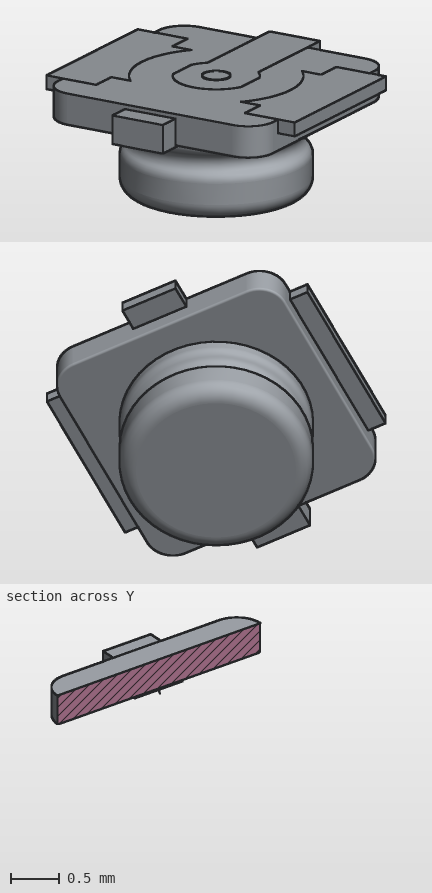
import cadquery as cq
import math

plate_size = 2.6
plate_thickness = 0.347
plate_corner_radius = 0.3
plate_edge_radius = 0.025

overall_length = 3.1
strip_width = 0.61
contact_thickness = 0.15
contact_relief = 0.0015

wing_span = 3.0
wing_length = 1.8
wing_tooth_length = 1.2
wing_bore_radius = 0.9

contact_disc_radius = 0.45
contact_disc_width = 0.82
pin_radius = 0.15
pin_height = 0.01

tab_top = -0.05
tab_height = 0.31

shell_radius = 0.998
shell_bottom = -1.25
shell_bottom_radius = 0.175
neck_radius = 0.895
groove_top = -0.46
groove_bottom = -0.845
groove_center = (groove_top + groove_bottom) / 2
groove_half_height = groove_center - groove_bottom
groove_depth = shell_radius - neck_radius
groove_arc_radius = (groove_half_height**2 + groove_depth**2) / (4 * groove_depth)


def box(x_size, y_size, y_center, z_bottom, z_top):
    """Box centred on X, spanning the given Y place and Z range."""
    return (
        cq.Workplane("XY", origin=(0, y_center, z_bottom))
        .rect(x_size, y_size)
        .extrude(z_top - z_bottom)
    )


def disc(radius, z_bottom, z_top):
    return cq.Workplane("XY", origin=(0, 0, z_bottom)).circle(radius).extrude(z_top - z_bottom)


def make_plate():
    plate = box(plate_size, plate_size, 0, -plate_thickness, 0)
    return plate.edges("|Z").fillet(plate_corner_radius).faces("<Z").edges().fillet(plate_edge_radius)


def make_shell():
    """Solid of revolution with a rounded groove below the plate."""
    flank_radius = (shell_radius + neck_radius) / 2
    flank_offset = groove_half_height / 2
    arc_angle = 2 * math.atan(groove_depth / groove_half_height)
    half_chord_x = groove_arc_radius * (1 - math.cos(arc_angle / 2))
    half_chord_z = groove_arc_radius * math.sin(arc_angle / 2)
    lip_mid_radius = shell_radius - half_chord_x
    neck_mid_radius = neck_radius + half_chord_x
    profile = (
        cq.Workplane("XZ")
        .moveTo(0, -plate_thickness / 2)
        .lineTo(shell_radius, -plate_thickness / 2)
        .lineTo(shell_radius, groove_top)
        .threePointArc(
            (lip_mid_radius, groove_top - half_chord_z),
            (flank_radius, groove_center + flank_offset),
        )
        .threePointArc((neck_mid_radius, groove_center + half_chord_z), (neck_radius, groove_center))
        .threePointArc(
            (neck_mid_radius, groove_center - half_chord_z),
            (flank_radius, groove_center - flank_offset),
        )
        .threePointArc((lip_mid_radius, groove_bottom + half_chord_z), (shell_radius, groove_bottom))
        .lineTo(shell_radius, shell_bottom)
        .lineTo(0, shell_bottom)
        .close()
    )
    return profile.revolve(360, (0, 0, 0), (0, 1, 0)).faces("<Z").edges().fillet(shell_bottom_radius)


def make_wings():
    """Two side contacts with toothed, concave inner ends."""
    wings = box(wing_span, wing_length, 0, -contact_thickness, contact_relief)
    middle = box(2 * wing_bore_radius, wing_length, 0, -contact_thickness, contact_relief)
    teeth = box(2 * wing_bore_radius, wing_tooth_length, 0, -contact_thickness, contact_relief)
    bore = disc(wing_bore_radius, -contact_thickness, contact_relief)
    return wings.cut(middle.cut(teeth)).cut(bore)


def make_signal_contact():
    """Strip running to +Y from a disc with trimmed sides, topped by the pin."""
    strip_length = overall_length / 2
    strip = box(strip_width, strip_length, strip_length / 2, -contact_thickness, contact_relief)
    trim = box(contact_disc_width, 2 * contact_disc_radius, 0, -contact_thickness, contact_relief)
    pad = disc(contact_disc_radius, -contact_thickness, contact_relief).intersect(trim)
    pin = disc(pin_radius, -contact_thickness, pin_height)
    return strip.union(pad).union(pin)


def make_front_tab():
    tab_length = overall_length / 2 - shell_radius
    tab_center = -(overall_length - tab_length) / 2
    return box(strip_width, tab_length, tab_center, tab_top - tab_height, tab_top)


result = (
    make_plate()
    .union(make_shell())
    .union(make_wings())
    .union(make_signal_contact())
    .union(make_front_tab())
)